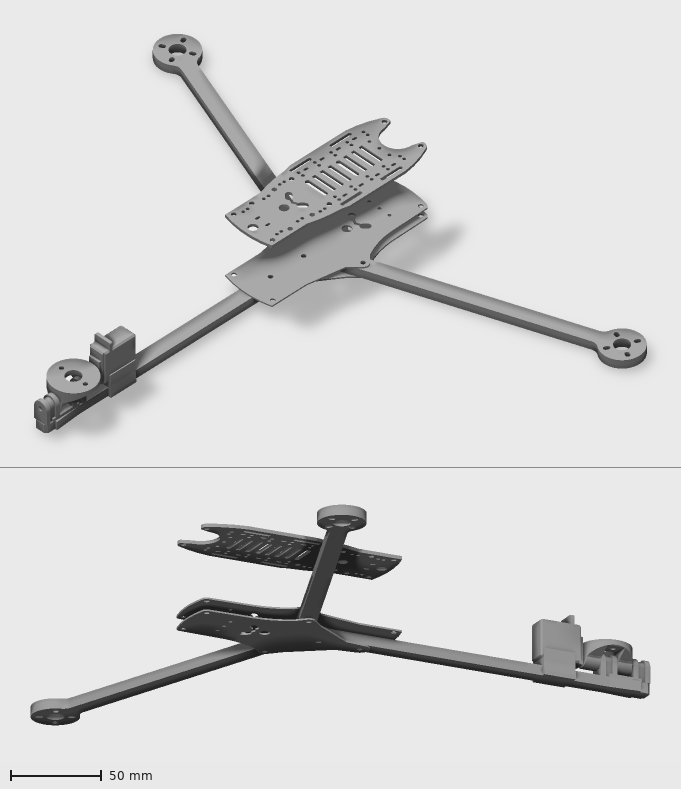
import cadquery as cq
import math

OVERALL_X = 379.74
OVERALL_Y = 290.76
OVERALL_Z = 51.5
NOSE_Y = OVERALL_Y / 2
TAIL_Y = -NOSE_Y

PLATE_T = 1.0
ARM_T = 6.0
TOP_PLATE_T = 2.0
ARM_Z = PLATE_T
ARM_TOP = ARM_Z + ARM_T
TOP_PLATE_Z = OVERALL_Z - TOP_PLATE_T

BOLT_D = 3.1
SMALL_D = 2.15
SLIT_W = 1.6
SLIT_L = 3.4

FRONT_BOLTS = [(-14.4, 133.9), (14.4, 133.9)]
REAR_BOLTS = [(-15.4, 18.8), (15.4, 18.8)]
HINGE_X = 27.0
HINGE_Y = 77.2
HINGE_BOLTS = [(-HINGE_X, HINGE_Y), (HINGE_X, HINGE_Y)]
BOOM_BOLTS = [(0, 57.6), (0, 32.1)]
NOSE_HOLES = [(-8.0, 116.0), (0, 116.0), (8.0, 116.0)]


def mirrored(points):
    """The points and their mirror images across the YZ plane."""
    return [(side * x, y) for side in (1, -1) for x, y in points]


def drill(body, points, diameter):
    """Holes along Z, right through a flat body."""
    cutter = cq.Workplane("XY").pushPoints(points).circle(diameter / 2).extrude(OVERALL_Z)
    return body.cut(cutter)


def slot(body, points, length, width, angle=0):
    """Round-ended slots right through a flat body."""
    cutter = cq.Workplane("XY").pushPoints(points).slot2D(length, width, angle).extrude(OVERALL_Z)
    return body.cut(cutter)


def window(body, points, size_x, size_y):
    """Rectangular openings right through a flat body."""
    cutter = cq.Workplane("XY").pushPoints(points).rect(size_x, size_y).extrude(OVERALL_Z)
    return body.cut(cutter)


WIRE_D = 6.0
LOBE_W = 4.2
LOBE_L = 6.8
LOBE_X = 5.5
LOBE_RISE = 8.9
LOBE_ANGLE = 45
VEE_RISE = 6.5
VEE_W = 1.6


def wire_opening(body, y):
    """A round hole with a V of two slots ahead of it, each ending in a wider lobe."""
    reach = math.hypot(LOBE_X, LOBE_RISE - VEE_RISE)
    slope = math.degrees(math.atan2(LOBE_RISE - VEE_RISE, LOBE_X))
    body = drill(body, [(0, y)], WIRE_D)
    for side in (1, -1):
        lobe = (side * LOBE_X, y + LOBE_RISE)
        body = slot(body, [lobe], LOBE_L, LOBE_W, side * LOBE_ANGLE)
        middle = (side * LOBE_X / 2, y + (LOBE_RISE + VEE_RISE) / 2)
        body = slot(body, [middle], reach + VEE_W, VEE_W, side * slope)
    return body


TAIL_W = 37.0
TAIL_EDGE_Y = 12.7
TAIL_CORNER_Y = 15.2
WAIST_Y = 42.0
TOP_W = 47.8
NOTCH_R = 10.6
NOTCH_Y = 130.2
PRONG_Y = 136.7
VENT_W = 17.0
VENT_H = 2.5
VENT_PITCH = 6.0
VENT_FRONT_Y = 109.4
VENT_COUNT = 8
ROUND_VENT_STEP = 4
GRID_PITCH = 12.5
STRAP_W = 2.2
STRAP_L = 16.0
STRAP_X = 20.1
STRAP_ENDS_Y = [97.8, 66.9]


def top_plate_outline():
    half = TOP_W / 2
    tail = TAIL_W / 2
    return (
        cq.Workplane("XY")
        .moveTo(-tail, WAIST_Y)
        .lineTo(-tail, TAIL_CORNER_Y)
        .threePointArc((0, TAIL_EDGE_Y), (tail, TAIL_CORNER_Y))
        .lineTo(tail, WAIST_Y)
        .threePointArc((21.3, 53.5), (half - 1.2, 65.0))
        .lineTo(half, 70.0)
        .lineTo(half, 113.0)
        .threePointArc((21.8, 124.0), (17.9, 134.5))
        .threePointArc((16.0, PRONG_Y), (12.6, PRONG_Y))
        .lineTo(NOTCH_R, NOTCH_Y)
        .threePointArc((0, NOTCH_Y - NOTCH_R), (-NOTCH_R, NOTCH_Y))
        .lineTo(-12.6, PRONG_Y)
        .threePointArc((-16.0, PRONG_Y), (-17.9, 134.5))
        .threePointArc((-21.8, 124.0), (-half, 113.0))
        .lineTo(-half, 70.0)
        .lineTo(-half + 1.2, 65.0)
        .threePointArc((-21.3, 53.5), (-tail, WAIST_Y))
        .close()
    )


def strap_slots(body):
    """Side slots with a square rear end and a round front end."""
    for rear_y in STRAP_ENDS_Y:
        straight = STRAP_L - STRAP_W / 2
        body = window(body, mirrored([(STRAP_X, rear_y + straight / 2)]), STRAP_W, straight)
        body = drill(body, mirrored([(STRAP_X, rear_y + straight)]), STRAP_W)
    return body


def make_top_plate():
    plate = top_plate_outline().extrude(TOP_PLATE_T)
    plate = drill(plate, FRONT_BOLTS + REAR_BOLTS, BOLT_D)
    plate = drill(plate, mirrored([(15.0, 62.9), (15.0, 49.7), (15.2, 32.5)]), BOLT_D)
    plate = drill(plate, NOSE_HOLES, SMALL_D)
    plate = drill(plate, mirrored([(16.1, 58.3), (16.1, 54.9)]), SMALL_D)
    plate = drill(plate, mirrored([(13.4, y) for y in (43.6, 40.0, 27.5, 24.1)]), SMALL_D)
    pair_rows = [119.4 - GRID_PITCH * row for row in range(5)]
    plate = drill(plate, mirrored([(x, y) for x in (12.7, 16.1) for y in pair_rows]), SMALL_D)
    slit_rows = [111.9 - GRID_PITCH * row for row in range(4)]
    slits = [(15.5, y) for y in slit_rows] + [(4.0, 26.1)]
    plate = slot(plate, mirrored(slits), SLIT_L, SLIT_W, 90)
    for row in range(1, VENT_COUNT + 1):
        place = [(0, VENT_FRONT_Y - VENT_PITCH * (row - 1))]
        if row % ROUND_VENT_STEP == 0:
            plate = slot(plate, place, VENT_W, BOLT_D)
        else:
            plate = window(plate, place, VENT_W, VENT_H)
    plate = strap_slots(plate)
    plate = wire_opening(plate, 42.6)
    plate = drill(plate, [(0, 18.6)], WIRE_D)
    return plate.translate((0, 0, TOP_PLATE_Z))


FRAME_FRONT_Y = 139.3
FRAME_CORNER = (15.5, 137.3)
FRAME_NOSE_X = 18.0
LOBE_HINGE_R = 3.8
SHOULDER = (23.0, 67.5)
BOTTOM_END_Y = 26.5
TONGUE_R = 5.6
TONGUE_Y = BOTTOM_END_Y + TONGUE_R
TONGUE_ROOT = (7.0, 44.0)
FRAME_WIRE_Y = 91.0


def nose_and_lobes(sketch):
    """Fuselage edge from the right hinge lobe, around the nose, to the left hinge lobe."""
    lobe_out = HINGE_X + LOBE_HINGE_R
    lobe_diagonal = LOBE_HINGE_R * math.sqrt(0.5)
    lobe_x = HINGE_X + lobe_diagonal
    corner_x, corner_y = FRAME_CORNER
    return (
        sketch.lineTo(lobe_x, HINGE_Y - lobe_diagonal)
        .threePointArc((lobe_out, HINGE_Y), (lobe_x, HINGE_Y + lobe_diagonal))
        .lineTo(24.6, 85.0)
        .threePointArc((20.6, 95.0), (18.6, 107.0))
        .lineTo(FRAME_NOSE_X, 134.0)
        .threePointArc((17.4, 136.2), (corner_x, corner_y))
        .threePointArc((0, FRAME_FRONT_Y), (-corner_x, corner_y))
        .threePointArc((-17.4, 136.2), (-FRAME_NOSE_X, 134.0))
        .lineTo(-18.6, 107.0)
        .threePointArc((-20.6, 95.0), (-24.6, 85.0))
        .lineTo(-lobe_x, HINGE_Y + lobe_diagonal)
        .threePointArc((-lobe_out, HINGE_Y), (-lobe_x, HINGE_Y - lobe_diagonal))
    )


def middle_outline():
    """Nose and lobes with a full-width tail under the top plate."""
    tail = TAIL_W / 2
    start = (
        cq.Workplane("XY")
        .moveTo(-tail, WAIST_Y)
        .lineTo(-tail, TAIL_CORNER_Y)
        .threePointArc((0, TAIL_EDGE_Y), (tail, TAIL_CORNER_Y))
        .lineTo(tail, WAIST_Y)
        .threePointArc((20.6, 53.5), SHOULDER)
    )
    left_shoulder = (-SHOULDER[0], SHOULDER[1])
    return nose_and_lobes(start).lineTo(*left_shoulder).threePointArc((-20.6, 53.5), (-tail, WAIST_Y)).close()


def bottom_outline():
    """Nose and lobes with a tail that narrows to a tongue along the boom."""
    root_x, root_y = TONGUE_ROOT
    start = (
        cq.Workplane("XY")
        .moveTo(-root_x, root_y)
        .lineTo(-TONGUE_R, TONGUE_Y)
        .threePointArc((0, BOTTOM_END_Y), (TONGUE_R, TONGUE_Y))
        .lineTo(root_x, root_y)
        .lineTo(*SHOULDER)
    )
    return nose_and_lobes(start).lineTo(-SHOULDER[0], SHOULDER[1]).close()


def drill_frame_plate(plate):
    plate = drill(plate, FRONT_BOLTS + HINGE_BOLTS + BOOM_BOLTS, BOLT_D)
    plate = drill(plate, NOSE_HOLES, SMALL_D)
    return wire_opening(plate, FRAME_WIRE_Y)


middle_plate = drill_frame_plate(middle_outline().extrude(PLATE_T))
middle_plate = drill(middle_plate, REAR_BOLTS, BOLT_D).translate((0, 0, ARM_TOP))
bottom_plate = drill_frame_plate(bottom_outline().extrude(PLATE_T))


ARM_W = 10.0
ARM_ANGLE = 20.0
PAD_R = 13.7
PAD_X = OVERALL_X / 2 - PAD_R
PAD_Y = NOSE_Y - PAD_R
PAD_BORE_D = 10.0
PAD_FILLET_R = 6.0
MOTOR_SLOT_R = 9.0
MOTOR_SLOT_L = 4.2
MOTOR_SLOT_W = 3.0
BOOM_HALF_W = ARM_W / 2
GUSSET_REACH = 14.0


def make_arm(side):
    """One arm from the motor pad to the centre plane, with a gusset along the boom."""
    turn = math.radians(ARM_ANGLE)
    axis_y = PAD_Y - PAD_X * math.tan(turn)
    bar = (
        cq.Workplane("XY")
        .rect(PAD_X / math.cos(turn) * 2, ARM_W)
        .extrude(ARM_T)
        .rotate((0, 0, 0), (0, 0, 1), ARM_ANGLE)
        .translate((0, axis_y, 0))
    )
    pad = cq.Workplane("XY").center(PAD_X, PAD_Y).circle(PAD_R).extrude(ARM_T)
    neck_x = PAD_X - PAD_R * math.cos(turn)
    arm = bar.union(pad)
    arm = arm.edges(cq.selectors.BoxSelector(
        (neck_x - PAD_R / 2, PAD_Y - PAD_R, 0), (PAD_X, PAD_Y + PAD_R / 2, ARM_T), boundingbox=False
    )).edges("|Z").fillet(PAD_FILLET_R)

    lower_y = axis_y - ARM_W / 2 / math.cos(turn)
    corner = (BOOM_HALF_W, lower_y + BOOM_HALF_W * math.tan(turn))
    on_boom = (BOOM_HALF_W, corner[1] - GUSSET_REACH)
    on_arm = (corner[0] + GUSSET_REACH * math.cos(turn), corner[1] + GUSSET_REACH * math.sin(turn))
    gusset = (
        cq.Workplane("XY")
        .moveTo(BOOM_HALF_W, axis_y)
        .lineTo(*on_boom)
        .threePointArc(gusset_middle(corner), on_arm)
        .close()
        .extrude(ARM_T)
    )
    arm = arm.union(gusset)

    arm = drill(arm, [(PAD_X, PAD_Y)], PAD_BORE_D)
    arm = drill(arm, [(HINGE_X, HINGE_Y)], BOLT_D)
    for quarter in range(4):
        angle = ARM_ANGLE + 45 + 90 * quarter
        place = (
            PAD_X + MOTOR_SLOT_R * math.cos(math.radians(angle)),
            PAD_Y + MOTOR_SLOT_R * math.sin(math.radians(angle)),
        )
        arm = slot(arm, [place], MOTOR_SLOT_L, MOTOR_SLOT_W, angle)
    beyond_centre = cq.Workplane("XY").rect(OVERALL_X, OVERALL_Y).extrude(ARM_T)
    arm = arm.cut(beyond_centre.translate((-OVERALL_X / 2, 0, 0)))
    arm = arm.translate((0, 0, ARM_Z))
    return arm if side > 0 else arm.mirror("YZ")


def gusset_middle(corner):
    """Middle point of the gusset's concave arc, tangent to the boom and to the arm."""
    half_corner = math.radians(90 + ARM_ANGLE) / 2
    radius = GUSSET_REACH * math.tan(half_corner)
    to_arc = radius / math.sin(half_corner) - radius
    direction = math.radians(ARM_ANGLE) - half_corner
    return (corner[0] + to_arc * math.cos(direction), corner[1] + to_arc * math.sin(direction))


arms = [make_arm(side) for side in (-1, 1)]


BOOM_FRONT_Y = 62.0
FLARE_FRONT_Y = -120.0
FLARE_END_Y = -138.5
FLARE_HALF_W = 6.4
TIP_HALF_W = 4.8
TIP_CHAMFER = 1.6


def make_boom():
    half_outline = [
        (BOOM_HALF_W, BOOM_FRONT_Y),
        (BOOM_HALF_W, FLARE_FRONT_Y),
        (FLARE_HALF_W, FLARE_END_Y),
        (TIP_HALF_W, FLARE_END_Y),
        (TIP_HALF_W, TAIL_Y + TIP_CHAMFER),
        (TIP_HALF_W - TIP_CHAMFER, TAIL_Y),
    ]
    other_half = [(-x, y) for x, y in reversed(half_outline)]
    boom = cq.Workplane("XY").polyline(half_outline + other_half).close().extrude(ARM_T)
    boom = drill(boom, BOOM_BOLTS, BOLT_D)
    return boom.translate((0, 0, ARM_Z))


boom = make_boom()


PIVOT_Z = 16.5
MOTOR_Y = -119.7
TOWER_R = 5.0
TOWER_L = 10.2
TOWER_YS = [MOTOR_Y, -140.0]
GROOVE_L = 4.3
GROOVE_DEPTH = 1.2
YOKE_FLOOR_T = 2.0
PIVOT_D = BOLT_D


def arch(radius, y, length):
    """Round-topped post on the boom, centred on y, with its top around the pivot axis."""
    return (
        cq.Workplane("XZ")
        .moveTo(-radius, ARM_TOP)
        .lineTo(-radius, PIVOT_Z)
        .threePointArc((0, PIVOT_Z + radius), (radius, PIVOT_Z))
        .lineTo(radius, ARM_TOP)
        .close()
        .extrude(length / 2, both=True)
        .translate((0, y, 0))
    )


def pivot_cylinder(diameter, front_y, rear_y):
    return (
        cq.Workplane("XZ", origin=(0, front_y, PIVOT_Z)).circle(diameter / 2).extrude(front_y - rear_y)
    )


def make_yoke():
    front_y, rear_y = TOWER_YS
    floor_size = (2 * TOWER_R, front_y - rear_y, YOKE_FLOOR_T)
    yoke = cq.Workplane("XY").box(*floor_size, centered=(True, True, False))
    yoke = yoke.translate((0, (front_y + rear_y) / 2, ARM_TOP))
    for y in TOWER_YS:
        half_groove = GROOVE_L / 2
        end_l = TOWER_L / 2 - half_groove
        for end in (-1, 1):
            yoke = yoke.union(arch(TOWER_R, y + end * (half_groove + end_l / 2), end_l))
        yoke = yoke.union(arch(TOWER_R - GROOVE_DEPTH, y, GROOVE_L))
    return yoke.cut(pivot_cylinder(PIVOT_D, FLARE_FRONT_Y + TOWER_L, TAIL_Y))


yoke = make_yoke()


MOUNT_R = 15.0
MOUNT_TOP = 25.3
MOUNT_RIM_Z = 22.3
BARREL_R = 5.4
SKIRT_X = 6.4
SKIRT_Z = 17.5
TOWER_GAP = 0.3
MOUNT_HOLE_X = 9.5
MOUNT_HOLE_D = 3.0


def make_motor_mount():
    """Round disc whose flared underside ends in a barrel around the pivot axis."""
    profile = (
        cq.Workplane("XZ")
        .moveTo(-MOUNT_R, MOUNT_TOP)
        .lineTo(-MOUNT_R, MOUNT_RIM_Z)
        .lineTo(-SKIRT_X, SKIRT_Z)
        .lineTo(-BARREL_R, PIVOT_Z)
        .threePointArc((0, PIVOT_Z - BARREL_R), (BARREL_R, PIVOT_Z))
        .lineTo(SKIRT_X, SKIRT_Z)
        .lineTo(MOUNT_R, MOUNT_RIM_Z)
        .lineTo(MOUNT_R, MOUNT_TOP)
        .close()
        .extrude(MOUNT_R, both=True)
        .translate((0, MOTOR_Y, 0))
    )
    disc = cq.Workplane("XY").center(0, MOTOR_Y).circle(MOUNT_R).extrude(MOUNT_TOP)
    mount = profile.intersect(disc)
    gap_l = TOWER_L + 2 * TOWER_GAP
    gap_top = PIVOT_Z + TOWER_R + TOWER_GAP
    gap = cq.Workplane("XY").box(2 * MOUNT_R, gap_l, gap_top, centered=(True, True, False))
    mount = mount.cut(gap.translate((0, MOTOR_Y, 0)))
    mount = drill(mount, [(0, MOTOR_Y)], PAD_BORE_D)
    mount = drill(mount, mirrored([(MOUNT_HOLE_X, MOTOR_Y)]), MOUNT_HOLE_D)
    return mount.cut(pivot_cylinder(PIVOT_D, MOTOR_Y + MOUNT_R - 4.0, TAIL_Y))


motor_mount = make_motor_mount()


SERVO_HALF_W = 6.1
SERVO_NOSE_HALF_W = 5.0
SERVO_REAR_Y = -77.0
SERVO_EAR_Y = -95.4
SERVO_EAR_T = 2.2
SERVO_CASE_END_Y = -101.0
SERVO_NOSE_Y = -102.2
SERVO_GEAR_Y = -103.8
SERVO_Z = 11.8
SERVO_TOP = 34.2
SERVO_EAR_TOP = 39.3
SERVO_GEAR_TOP = 28.0
SERVO_GEAR_HALF_W = 4.0
SERVO_SHAFT_D = 6.0
SERVO_EDGE = 1.0


def block(half_w, front_y, rear_y, z, top):
    """Box symmetric about the YZ plane, between two Y and two Z positions."""
    size = (2 * half_w, front_y - rear_y, top - z)
    return cq.Workplane("XY").box(*size).translate((0, (front_y + rear_y) / 2, (z + top) / 2))


def make_servo():
    case = block(SERVO_HALF_W, SERVO_REAR_Y, SERVO_CASE_END_Y, SERVO_Z, SERVO_TOP)
    case = case.edges("|Y or >Y").chamfer(SERVO_EDGE)
    ear = block(SERVO_HALF_W, SERVO_EAR_Y, SERVO_EAR_Y - SERVO_EAR_T, ARM_TOP, SERVO_EAR_TOP)
    ear = ear.edges("|Y").fillet(SERVO_EDGE)
    nose = block(SERVO_NOSE_HALF_W, SERVO_CASE_END_Y, SERVO_NOSE_Y, SERVO_Z, SERVO_TOP)
    nose = nose.edges("<Y and >Z").chamfer(SERVO_EDGE)
    gear = block(SERVO_GEAR_HALF_W, SERVO_NOSE_Y, SERVO_GEAR_Y, SERVO_Z, SERVO_GEAR_TOP)
    shaft = pivot_cylinder(SERVO_SHAFT_D, SERVO_GEAR_Y, MOTOR_Y + MOUNT_R)
    return case.union(ear).union(nose).union(gear).union(shaft)


servo = make_servo()


BRACKET_HALF_W = 7.3
BRACKET_FRONT_Y = -78.4
BRACKET_REAR_Y = -97.9
BRACKET_TOP = 16.8
CHEEK_SLOPE_Z = 3.4
CHEEK_SLOPE_TOP = 9.2
CHEEK_HALF_W = 6.8


def make_servo_bracket():
    """Saddle that straddles the boom from above and holds the servo between its cheeks."""
    half_profile = [
        (BRACKET_HALF_W, ARM_Z),
        (BRACKET_HALF_W, CHEEK_SLOPE_Z),
        (CHEEK_HALF_W, CHEEK_SLOPE_TOP),
        (CHEEK_HALF_W, BRACKET_TOP),
    ]
    other_half = [(-x, z) for x, z in reversed(half_profile)]
    bracket = (
        cq.Workplane("XZ", origin=(0, BRACKET_FRONT_Y, 0))
        .polyline(half_profile + other_half)
        .close()
        .extrude(BRACKET_FRONT_Y - BRACKET_REAR_Y)
    )
    servo_bay = block(SERVO_HALF_W, BRACKET_FRONT_Y, BRACKET_REAR_Y, SERVO_Z, BRACKET_TOP)
    ear_bay = block(SERVO_HALF_W, SERVO_EAR_Y, BRACKET_REAR_Y, ARM_TOP, SERVO_Z)
    boom_bay = block(BOOM_HALF_W, BRACKET_FRONT_Y, BRACKET_REAR_Y, ARM_Z, ARM_TOP)
    return bracket.cut(servo_bay).cut(ear_bay).cut(boom_bay)


servo_bracket = make_servo_bracket()

top_plate = make_top_plate()

bodies = [top_plate, middle_plate, bottom_plate, *arms, boom, yoke, motor_mount, servo, servo_bracket]
result = cq.Compound.makeCompound([body.val() for body in bodies])